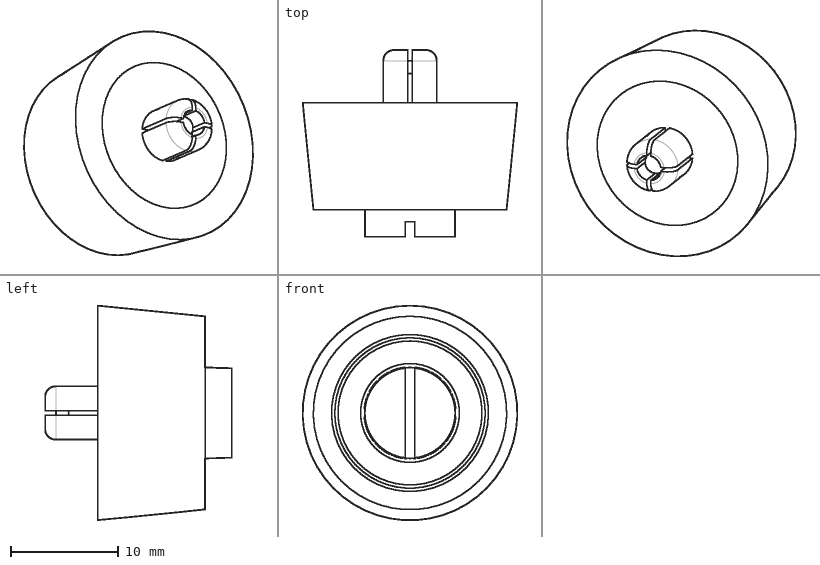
import cadquery as cq
import math


housing_length = 10.0
housing_front_radius = 9.0
housing_rear_radius = 10.0

bushing_radius = 7.0
joint_chamfer = 0.3
sleeve_radius = 2.5
sleeve_length = 4.9
sleeve_end_round = 1.0
sleeve_slit_width = 0.4

head_tip_radius = 4.2
head_draft_degrees = 1.0
head_projection = 2.5
head_seat_depth = 2.5
recess_mouth_radius = 4.6
driver_slot_width = 0.85
driver_slot_depth = 1.4
shank_radius = 1.2
nose_radius = 1.1
nose_land = 0.13
nose_inset = 1.0

sleeve_end = housing_length + sleeve_length
nose_end = sleeve_end - nose_inset
nose_round_start = nose_end - nose_radius
head_length = head_projection + head_seat_depth
head_base_radius = head_tip_radius + head_length * math.tan(math.radians(head_draft_degrees))


def profile_from(radius, y):
    """Start a (radius, Y) profile in the plane through the Y and Z axes."""
    return cq.Workplane("ZY").moveTo(radius, y)


def turned(profile):
    """Close a (radius, Y) profile and revolve it about the Y axis."""
    return profile.close().revolve(360, (0, 0, 0), (0, 1, 0))


def make_housing():
    return turned(
        profile_from(bushing_radius + joint_chamfer, 0)
        .lineTo(housing_front_radius, 0)
        .lineTo(housing_rear_radius, housing_length)
        .lineTo(bushing_radius, housing_length)
        .lineTo(bushing_radius, joint_chamfer)
    )


def make_bushing():
    body = turned(
        profile_from(recess_mouth_radius, 0)
        .lineTo(bushing_radius - joint_chamfer, 0)
        .lineTo(bushing_radius, joint_chamfer)
        .lineTo(bushing_radius, housing_length)
        .lineTo(sleeve_radius, housing_length)
        .lineTo(sleeve_radius, sleeve_end - sleeve_end_round)
        .radiusArc((sleeve_radius - sleeve_end_round, sleeve_end), -sleeve_end_round)
        .lineTo(shank_radius, sleeve_end)
        .lineTo(shank_radius, head_seat_depth)
        .lineTo(head_base_radius, head_seat_depth)
    )
    slit_y = housing_length + sleeve_length / 2
    for slit_size in (
        (sleeve_slit_width, sleeve_length, 2 * sleeve_radius),
        (2 * sleeve_radius, sleeve_length, sleeve_slit_width),
    ):
        body = body.cut(cq.Workplane("XY").box(*slit_size).translate((0, slit_y, 0)))
    return body


def make_pin():
    body = turned(
        profile_from(0, -head_projection)
        .lineTo(head_tip_radius, -head_projection)
        .lineTo(head_base_radius, head_seat_depth)
        .lineTo(shank_radius, head_seat_depth)
        .lineTo(shank_radius, nose_round_start - nose_land)
        .lineTo(nose_radius, nose_round_start - nose_land)
        .lineTo(nose_radius, nose_round_start)
        .radiusArc((0, nose_end), -nose_radius)
    )
    driver_slot = (
        cq.Workplane("XY")
        .box(driver_slot_width, driver_slot_depth, 2 * head_base_radius)
        .translate((0, driver_slot_depth / 2 - head_projection, 0))
    )
    return body.cut(driver_slot)


housing = make_housing()
bushing = make_bushing()
pin = make_pin()

bodies = [housing, bushing, pin]
result = cq.Compound.makeCompound([body.solids().val() for body in bodies])